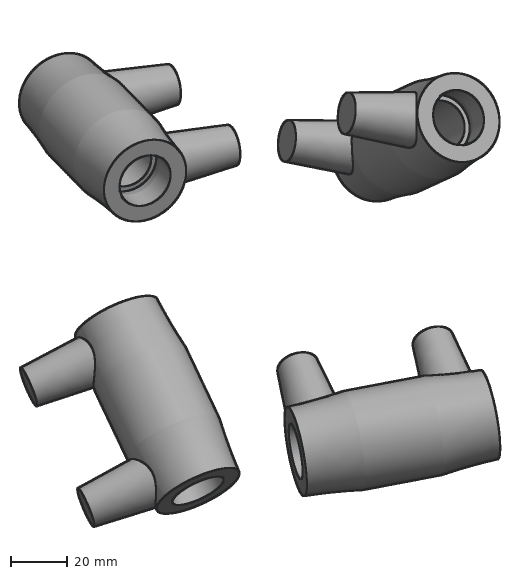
import cadquery as cq
import math

length = 71.0
barrel_radius = 36.0 / 2
end_radius = 32.4 / 2
middle_length = 29.1
flare_sag = 0.3

narrow_radius = 18.0 / 2
mouth_radius = 20.0 / 2
mouth_depth = 9.3
chamber_radius = 11.0
step_depth = 14.0

peg_tip_y = 39.0
peg_tip_radius = 15.0 / 2
peg_root_y = 11.35
peg_offset = 24.85
left_peg_taper = 5.7
right_peg_taper = 4.8


def make_barrel():
    """Revolve the barrel: a straight middle between two concave tapered ends."""
    half_length = length / 2
    half_middle = middle_length / 2
    arc_x = (half_length + half_middle) / 2
    arc_radius = (barrel_radius + end_radius) / 2 - flare_sag
    return (
        cq.Workplane("XY")
        .moveTo(-half_length, 0)
        .lineTo(-half_length, end_radius)
        .threePointArc((-arc_x, arc_radius), (-half_middle, barrel_radius))
        .lineTo(half_middle, barrel_radius)
        .threePointArc((arc_x, arc_radius), (half_length, end_radius))
        .lineTo(half_length, 0)
        .close()
        .revolve(360, (0, 0, 0), (1, 0, 0))
    )


def make_peg(x, taper):
    """Cone from inside the barrel wall out to the peg tip, narrowing outward."""
    peg_length = peg_tip_y - peg_root_y
    root_radius = peg_tip_radius + peg_length * math.tan(math.radians(taper))
    root = cq.Vector(x, peg_root_y, 0)
    direction = cq.Vector(0, 1, 0)
    cone = cq.Solid.makeCone(root_radius, peg_tip_radius, peg_length, root, direction)
    return cq.Workplane(cone)


def make_bore():
    """Revolve the space inside the barrel, symmetric about its middle."""
    half_length = length / 2
    mouth_x = half_length - mouth_depth
    step_x = half_length - step_depth
    return (
        cq.Workplane("XY")
        .moveTo(-half_length, 0)
        .lineTo(-half_length, mouth_radius)
        .lineTo(-mouth_x, mouth_radius)
        .lineTo(-step_x, chamber_radius)
        .lineTo(-step_x, narrow_radius)
        .lineTo(step_x, narrow_radius)
        .lineTo(step_x, chamber_radius)
        .lineTo(mouth_x, mouth_radius)
        .lineTo(half_length, mouth_radius)
        .lineTo(half_length, 0)
        .close()
        .revolve(360, (0, 0, 0), (1, 0, 0))
    )


left_peg = make_peg(-peg_offset, left_peg_taper)
right_peg = make_peg(peg_offset, right_peg_taper)
result = make_barrel().union(left_peg).union(right_peg).cut(make_bore())